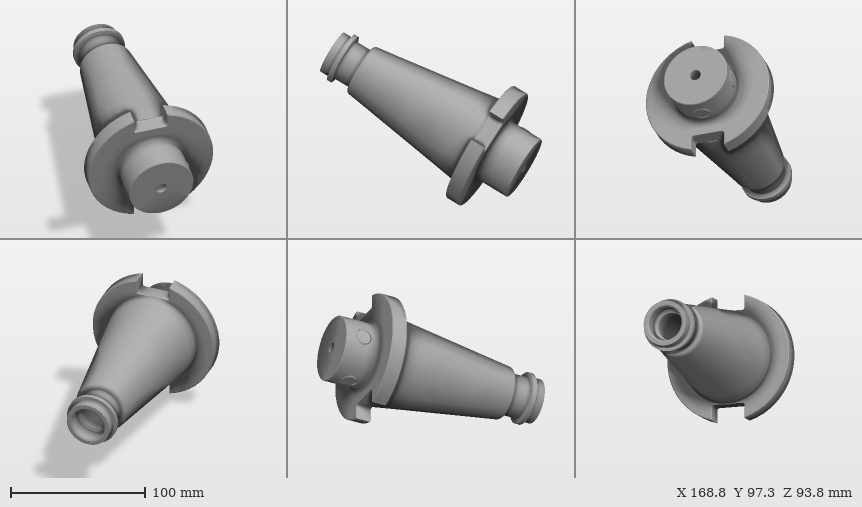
import cadquery as cq
import math


GROOVE_START = 5.7
GROOVE_FLAT_START = 6.2
RING_START = 7.7
RING_RIM_END = 11.0
RING_END = 12.0
TAPER_START = 24.8
GAUGE_PLANE = 126.8
FLANGE_START = 130.0
FLANGE_END = 142.0
NOSE_END = 168.8

REAR_RADIUS = 17.0
GROOVE_DEPTH = 0.25
RING_ROOT_FILLET = 1.0
RING_RADIUS = 19.8
NECK_RADIUS = 16.0
NECK_ROOT_FILLET = 0.5
GAUGE_RADIUS = 69.85 / 2
TAPER_SLOPE = 7 / 48
TAPER_END_FILLET = 3.0
FLANGE_RADIUS = 97.3 / 2
FLANGE_CHAMFER = 0.6
FLANGE_ROOT_FILLET = 0.9
NOSE_RADIUS = 25.0
NOSE_ROOT_FILLET = 3.0
NOSE_CHAMFER = 0.5
EDGE_TOLERANCE = 0.01

ENTRY_RADIUS = 14.0
ENTRY_CHAMFER_LENGTH = 0.8
COUNTERBORE_RADIUS = 13.0
COUNTERBORE_DEPTH = 11.2
COUNTERSINK_RADIUS = 12.5
THREAD_CORE_RADIUS = 20.75 / 2
THREAD_DEPTH = 55.0
COUNTERSINK_HALF_ANGLE = 52
DRILL_POINT_HALF_ANGLE = 59
COOLANT_RADIUS = 4.25

SLOT_WIDTH = 25.7
SLOT_FLOOR = 35.4
SLOT_FILLET = 2.0
SLOT_EDGE_CHAMFER = 0.6
SLOT_TURNS = (0, 180)

SCREW_NOSE_DISTANCE = 14.2
SCREW_X = NOSE_END - SCREW_NOSE_DISTANCE
SCREW_RADIUS = 6.5
SCREW_LENGTH = 12.0
SCREW_CHAMFER = 1.0
CUT_OVERRUN = 1.0
SCREW_TURNS = (-90, 180)


def revolve_about_x(profile):
    return profile.close().revolve(360, (0, 0, 0), (1, 0, 0))


def taper_radius(x):
    return GAUGE_RADIUS - TAPER_SLOPE * (GAUGE_PLANE - x)


def turned_outside():
    profile = (
        cq.Workplane("XZ")
        .moveTo(0, 0)
        .lineTo(0, REAR_RADIUS)
        .lineTo(GROOVE_START, REAR_RADIUS)
        .lineTo(GROOVE_FLAT_START, REAR_RADIUS - GROOVE_DEPTH)
        .lineTo(RING_START, REAR_RADIUS - GROOVE_DEPTH)
        .lineTo(RING_START, RING_RADIUS)
        .lineTo(RING_RIM_END, RING_RADIUS)
        .lineTo(RING_END, NECK_RADIUS)
        .lineTo(TAPER_START, NECK_RADIUS)
        .lineTo(TAPER_START, taper_radius(TAPER_START))
        .lineTo(GAUGE_PLANE, GAUGE_RADIUS)
        .lineTo(FLANGE_START, GAUGE_RADIUS)
        .lineTo(FLANGE_START, FLANGE_RADIUS)
        .lineTo(FLANGE_END, FLANGE_RADIUS)
        .lineTo(FLANGE_END, NOSE_RADIUS)
        .lineTo(NOSE_END, NOSE_RADIUS)
        .lineTo(NOSE_END, 0)
    )
    return revolve_about_x(profile)


def circle_at(x, radius):
    """Selects the circular edge of the given radius at station x."""
    outer = radius + EDGE_TOLERANCE
    inner = radius - EDGE_TOLERANCE
    back = x - EDGE_TOLERANCE
    front = x + EDGE_TOLERANCE
    within_outer = cq.selectors.BoxSelector((back, -outer, -outer), (front, outer, outer), boundingbox=True)
    within_inner = cq.selectors.BoxSelector((back, -inner, -inner), (front, inner, inner), boundingbox=True)
    return within_outer - within_inner


def axial_bore():
    thread_start = COUNTERBORE_DEPTH + (COUNTERSINK_RADIUS - THREAD_CORE_RADIUS) / math.tan(
        math.radians(COUNTERSINK_HALF_ANGLE)
    )
    point_length = (THREAD_CORE_RADIUS - COOLANT_RADIUS) / math.tan(math.radians(DRILL_POINT_HALF_ANGLE))
    profile = (
        cq.Workplane("XZ")
        .moveTo(0, 0)
        .lineTo(0, ENTRY_RADIUS)
        .lineTo(ENTRY_CHAMFER_LENGTH, COUNTERBORE_RADIUS)
        .lineTo(COUNTERBORE_DEPTH, COUNTERBORE_RADIUS)
        .lineTo(COUNTERBORE_DEPTH, COUNTERSINK_RADIUS)
        .lineTo(thread_start, THREAD_CORE_RADIUS)
        .lineTo(THREAD_DEPTH, THREAD_CORE_RADIUS)
        .lineTo(THREAD_DEPTH + point_length, COOLANT_RADIUS)
        .lineTo(NOSE_END, COOLANT_RADIUS)
        .lineTo(NOSE_END, 0)
    )
    return revolve_about_x(profile)


def slot_outline(x, width):
    """U-shaped slot section at station x, open beyond the flange rim."""
    half = width / 2
    return (
        cq.Workplane("YZ", origin=(x, 0, 0))
        .moveTo(half, FLANGE_RADIUS)
        .lineTo(half, SLOT_FLOOR + SLOT_FILLET)
        .radiusArc((half - SLOT_FILLET, SLOT_FLOOR), SLOT_FILLET)
        .lineTo(-half + SLOT_FILLET, SLOT_FLOOR)
        .radiusArc((-half, SLOT_FLOOR + SLOT_FILLET), SLOT_FILLET)
        .lineTo(-half, FLANGE_RADIUS)
        .close()
        .wires()
        .val()
    )


def drive_slot(turn):
    """Slot cutter, its walls flared at both flange faces, turned about X from +Z."""
    flared_width = SLOT_WIDTH + 2 * SLOT_EDGE_CHAMFER
    outlines = [
        slot_outline(FLANGE_START, flared_width),
        slot_outline(FLANGE_START + SLOT_EDGE_CHAMFER, SLOT_WIDTH),
        slot_outline(FLANGE_END - SLOT_EDGE_CHAMFER, SLOT_WIDTH),
        slot_outline(FLANGE_END, flared_width),
    ]
    slot = cq.Workplane(cq.Solid.makeLoft(outlines, True))
    return slot.rotate((0, 0, 0), (1, 0, 0), turn)


def clamping_screw(turn):
    """Plug flush with the crown of the nose, turned about X from +Z."""
    screw = (
        cq.Workplane("XY")
        .circle(SCREW_RADIUS)
        .extrude(SCREW_LENGTH)
        .faces(">Z")
        .chamfer(SCREW_CHAMFER)
        .translate((SCREW_X, 0, NOSE_RADIUS - SCREW_LENGTH))
    )
    return screw.rotate((0, 0, 0), (1, 0, 0), turn)


def screw_hole(turn):
    """Cutter for the blind hole that one clamping screw fills, turned about X from +Z."""
    hole = (
        cq.Workplane("XY", origin=(SCREW_X, 0, NOSE_RADIUS - SCREW_LENGTH))
        .circle(SCREW_RADIUS)
        .extrude(SCREW_LENGTH + CUT_OVERRUN)
    )
    return hole.rotate((0, 0, 0), (1, 0, 0), turn)


def make_holder():
    body = turned_outside()
    body = body.edges(circle_at(TAPER_START, taper_radius(TAPER_START))).fillet(TAPER_END_FILLET)
    body = body.edges(circle_at(RING_START, REAR_RADIUS - GROOVE_DEPTH)).fillet(RING_ROOT_FILLET)
    body = body.edges(circle_at(TAPER_START, NECK_RADIUS)).fillet(NECK_ROOT_FILLET)
    body = body.edges(circle_at(FLANGE_START, GAUGE_RADIUS)).fillet(FLANGE_ROOT_FILLET)
    for x in (FLANGE_START, FLANGE_END):
        body = body.edges(circle_at(x, FLANGE_RADIUS)).chamfer(FLANGE_CHAMFER)
    body = body.edges(circle_at(FLANGE_END, NOSE_RADIUS)).fillet(NOSE_ROOT_FILLET)
    body = body.edges(circle_at(NOSE_END, NOSE_RADIUS)).chamfer(NOSE_CHAMFER)
    body = body.cut(axial_bore())
    for turn in SLOT_TURNS:
        body = body.cut(drive_slot(turn))
    for turn in SCREW_TURNS:
        body = body.cut(screw_hole(turn))
    return body


holder = make_holder()
screws = [clamping_screw(turn) for turn in SCREW_TURNS]

result = cq.Compound.makeCompound([holder.val(), *[screw.val() for screw in screws]])